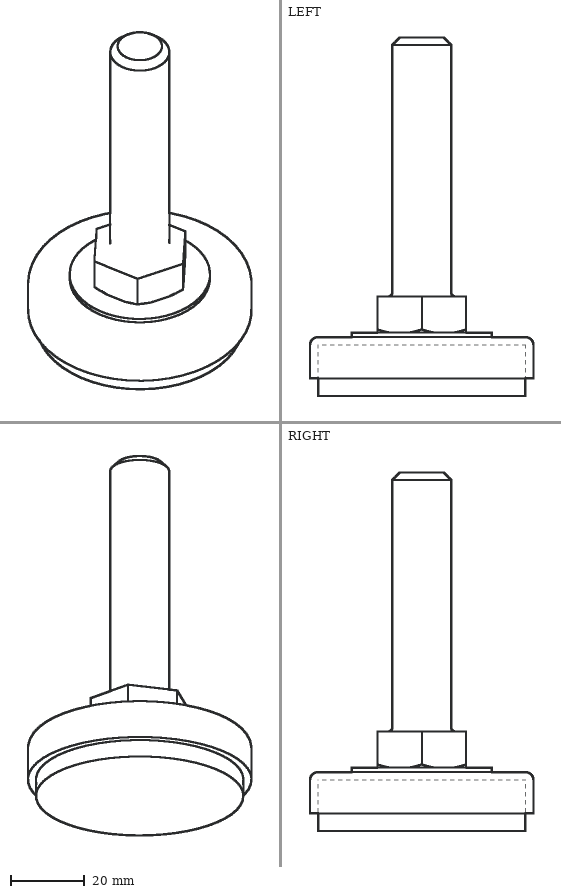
import cadquery as cq
import math


total_height = 97.0
cup_bottom = 4.8
cup_top = 16.0
plate_top = 17.2
hex_top = 27.0

cup_diameter = 60.5
cup_wall = 2.2
cup_edge_radius = cup_wall
pad_diameter = cup_diameter - 2 * cup_wall
pad_height = cup_top - cup_wall

plate_diameter = 38.0

stud_diameter = 16.0
stud_tip_diameter = 12.0
stud_tip_height = 2.0
neck_radius = 1.0
hex_flats = 24.0
hex_corners = hex_flats / math.cos(math.pi / 6)
hex_foot_diameter = 24.7
hex_chamfer_angle = math.radians(30)


def disc(diameter, bottom, top):
    """Solid cylinder on the Z axis between two heights."""
    return cq.Workplane("XY").workplane(offset=bottom).circle(diameter / 2).extrude(top - bottom)


def make_pad():
    """Plain rubber disc that fills the cup and stands out below it."""
    return disc(pad_diameter, 0, pad_height)


def make_cup():
    """Inverted cup with a rounded top edge, open below to take the pad."""
    body = disc(cup_diameter, cup_bottom, cup_top).faces(">Z").edges().fillet(cup_edge_radius)
    return body.cut(disc(pad_diameter, cup_bottom, pad_height))


def make_plate():
    """Thin round plate between the cup and the hex collar."""
    return disc(plate_diameter, cup_top, plate_top)


def make_hex_collar():
    """Hexagon with corners on the X axis, its lower corners turned off by a cone."""
    collar = (
        cq.Workplane("XY")
        .workplane(offset=plate_top)
        .polygon(6, hex_corners)
        .extrude(hex_top - plate_top)
    )
    chamfer_width = (hex_corners - hex_foot_diameter) / 2
    chamfer_height = chamfer_width * math.tan(hex_chamfer_angle)
    turned_blank = (
        disc(hex_corners, plate_top, hex_top)
        .faces("<Z")
        .edges()
        .chamfer(chamfer_height, chamfer_width)
    )
    return collar.intersect(turned_blank)


def make_shank():
    """Round shank with a flared fillet at its foot and a chamfered tip."""
    shank_radius = stud_diameter / 2
    tip_radius = stud_tip_diameter / 2
    neck_top = hex_top + neck_radius
    flare_centre_x = shank_radius + neck_radius
    arc_reach = neck_radius * math.cos(math.pi / 4)
    return (
        cq.Workplane("XZ")
        .moveTo(0, hex_top)
        .lineTo(flare_centre_x, hex_top)
        .threePointArc(
            (flare_centre_x - arc_reach, neck_top - arc_reach),
            (shank_radius, neck_top),
        )
        .lineTo(shank_radius, total_height - stud_tip_height)
        .lineTo(tip_radius, total_height)
        .lineTo(0, total_height)
        .close()
        .revolve(360, (0, 0, 0), (0, 1, 0))
    )


def make_stud():
    """Shank and hex collar in one piece."""
    return make_hex_collar().union(make_shank())


pad = make_pad()
cup = make_cup()
plate = make_plate()
stud = make_stud()

result = cq.Compound.makeCompound([pad.val(), cup.val(), plate.val(), stud.val()])